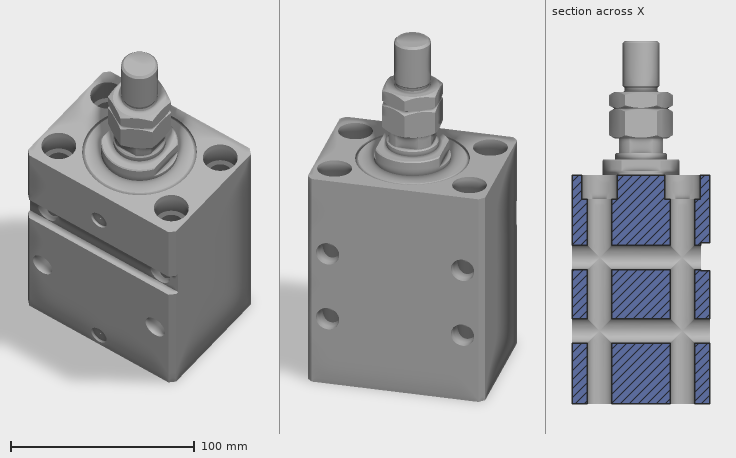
import cadquery as cq
import math

total_height = 198.0
block_width = 100.0
block_depth = 75.0
block_height = 125.0
block_edge_chamfer = 3.0

mount_hole_diameter = 13.0
mount_hole_x = 38.0
mount_hole_y = 22.5
counterbore_diameter = 19.0
counterbore_depth = 13.0
cross_hole_levels = (40.0, 80.0)
slot_bottom = 72.9
slot_height = 15.0
slot_depth = 4.8
port_recess_diameter = 10.3
port_recess_depth = 1.5
port_bore_diameter = 1.0
port_bore_depth = 6.0
port_levels = (7.3, 103.0)
head_diameter = 62.5
head_chamfer = 1.5

collar_diameter = 42.0
collar_height = 8.5
collar_chamfer = 0.5
collar_flat_width = 36.0
collar_flat_start = 2.2
shoulder_diameter = 28.5
shoulder_top = 12.0
shoulder_chamfer = 0.8
square_width = 24.0
square_corner_diameter = 27.1
thread_diameter = 20.0
thread_chamfer = 1.2
neck_diameter = 18.0
neck_length = 1.5
neck_clearance = 0.5

nut_width = 30.0
nut_bottom = 20.0
nut_height = 16.2
locknut_height = 9.1
nut_face_diameter = 29.0
nut_chamfer_angle = 30.0
hexagon_half_angle = 30.0

nut_base_level = block_height + nut_bottom
locknut_base_level = nut_base_level + nut_height
locknut_top_level = locknut_base_level + locknut_height


def make_housing():
    """Chamfered block with mounting holes both ways, a key slot, ports and a head groove."""
    block = cq.Workplane("XY").box(block_width, block_depth, block_height, centered=(True, True, False))
    block = block.edges("|Z").chamfer(block_edge_chamfer)

    block = (
        block.faces(">Z").workplane(origin=(0, 0, block_height))
        .rect(2 * mount_hole_x, 2 * mount_hole_y, forConstruction=True).vertices()
        .cboreHole(mount_hole_diameter, counterbore_diameter, counterbore_depth)
    )

    cross_points = [(side * mount_hole_x, level) for side in (-1, 1) for level in cross_hole_levels]
    cross_holes = (
        cq.Workplane("XZ").pushPoints(cross_points).circle(mount_hole_diameter / 2)
        .extrude(block_depth / 2, both=True)
    )
    block = block.cut(cross_holes)

    slot = cq.Workplane("XY").box(block_width, slot_depth, slot_height, centered=(True, False, False))
    block = block.cut(slot.translate((0, -block_depth / 2, slot_bottom)))

    for level in port_levels:
        front = cq.Workplane("XZ", origin=(0, -block_depth / 2, level))
        block = block.cut(front.circle(port_recess_diameter / 2).extrude(-port_recess_depth))
        block = block.cut(front.circle(port_bore_diameter / 2).extrude(-port_bore_depth))

    head_radius = head_diameter / 2
    groove = (
        cq.Workplane("XZ")
        .moveTo(head_radius - head_chamfer, block_height)
        .lineTo(head_radius, block_height - head_chamfer)
        .lineTo(head_radius, block_height)
        .close()
        .revolve(360, (0, 0, 0), (0, 1, 0))
    )
    return block.cut(groove)


def cylinder(diameter, bottom, top):
    """Upright cylinder on the centre axis between two levels."""
    return cq.Workplane("XY", origin=(0, 0, bottom)).circle(diameter / 2).extrude(top - bottom)


def make_rod():
    """Stepped rod standing on the housing: flatted collar, shoulder, square and threaded end."""
    collar_top = block_height + collar_height
    shoulder_level = block_height + shoulder_top

    collar = cylinder(collar_diameter, block_height, collar_top).faces(">Z").chamfer(collar_chamfer)
    flat_base = block_height + collar_flat_start
    flats = (
        cq.Workplane("XY", origin=(0, 0, flat_base))
        .rect(2 * collar_diameter, 2 * collar_diameter)
        .rect(collar_flat_width, 2 * collar_diameter)
        .extrude(collar_height)
    )
    collar = collar.cut(flats)

    shoulder = cylinder(shoulder_diameter, collar_top, shoulder_level).faces(">Z").chamfer(shoulder_chamfer)

    square_sides = (
        cq.Workplane("XY", origin=(0, 0, shoulder_level))
        .rect(square_width, square_width)
        .extrude(nut_base_level - shoulder_level)
    )
    square = cylinder(square_corner_diameter, shoulder_level, nut_base_level).intersect(square_sides)

    return collar.union(shoulder).union(square).union(make_threaded_end())


def make_threaded_end():
    """Threaded end with a relief neck just above the locknut, bevelled on both sides."""
    radius = thread_diameter / 2
    neck_radius = neck_diameter / 2
    bevel = radius - neck_radius
    neck_bottom = locknut_top_level + neck_clearance
    neck_top = neck_bottom + neck_length
    return (
        cq.Workplane("XZ")
        .moveTo(0, nut_base_level)
        .lineTo(radius, nut_base_level)
        .lineTo(radius, neck_bottom - bevel)
        .lineTo(neck_radius, neck_bottom)
        .lineTo(neck_radius, neck_top)
        .lineTo(radius, neck_top + bevel)
        .lineTo(radius, total_height - thread_chamfer)
        .lineTo(radius - thread_chamfer, total_height)
        .lineTo(0, total_height)
        .close()
        .revolve(360, (0, 0, 0), (0, 1, 0))
    )


def make_nut(bottom, height):
    """Hexagon nut with corners towards +Y and -Y, its corners bevelled at both ends."""
    corner_diameter = nut_width / math.cos(math.radians(hexagon_half_angle))
    hexagon = (
        cq.Workplane("XY").polygon(6, corner_diameter).extrude(height)
        .rotate((0, 0, 0), (0, 0, 1), hexagon_half_angle)
    )
    corner_radius = corner_diameter / 2
    face_radius = nut_face_diameter / 2
    bevel_drop = (corner_radius - face_radius) * math.tan(math.radians(nut_chamfer_angle))
    bevel_limit = (
        cq.Workplane("XZ")
        .moveTo(0, 0)
        .lineTo(face_radius, 0)
        .lineTo(corner_radius, bevel_drop)
        .lineTo(corner_radius, height - bevel_drop)
        .lineTo(face_radius, height)
        .lineTo(0, height)
        .close()
        .revolve(360, (0, 0, 0), (0, 1, 0))
    )
    bore = cylinder(thread_diameter, 0, height)
    return hexagon.intersect(bevel_limit).cut(bore).translate((0, 0, bottom))


housing = make_housing()
rod = make_rod()
nut = make_nut(nut_base_level, nut_height)
locknut = make_nut(locknut_base_level, locknut_height)

result = cq.Compound.makeCompound([housing.val(), rod.val(), nut.val(), locknut.val()])